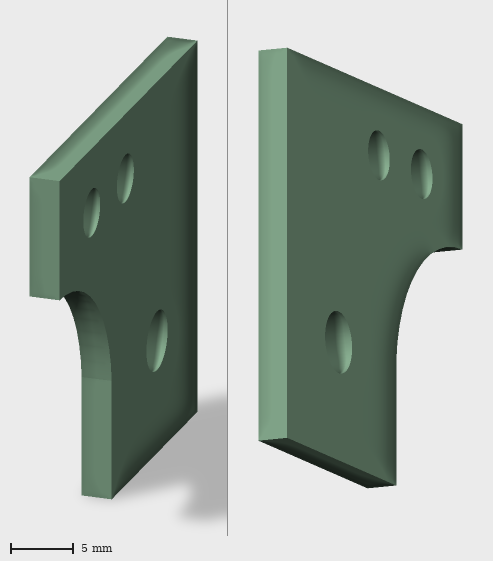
import cadquery as cq

thickness = 2.55
width = 32.58
height = 31.75

notch_width = 12.3
notch_height = 21.57
arc_start_height = 10.13
arc_rise = notch_height - arc_start_height
notch_radius = (notch_width**2 + arc_rise**2) / (2 * arc_rise)
arc_center_height = notch_height - notch_radius

small_hole_diameter = 4.0
small_hole_height = 26.25
first_small_hole_y = 7.6
small_hole_spacing = 7.95
large_hole_diameter = 5.02
large_hole_center = (23.05, 9.6)

small_hole_centers = [
    (first_small_hole_y + i * small_hole_spacing, small_hole_height) for i in range(2)
]


def make_plate():
    """Rectangular plate with the notch cut from its lower corner."""
    half_root = 0.5 ** 0.5
    arc_middle = (
        notch_radius * half_root,
        arc_center_height + notch_radius * half_root,
    )
    return (
        cq.Workplane("YZ")
        .moveTo(0, notch_height)
        .threePointArc(arc_middle, (notch_width, arc_start_height))
        .lineTo(notch_width, 0)
        .lineTo(width, 0)
        .lineTo(width, height)
        .lineTo(0, height)
        .close()
        .extrude(thickness)
    )


def make_hole_cutters(centers, diameter):
    """Cylinders that pass through the full plate thickness."""
    return (
        cq.Workplane("YZ")
        .pushPoints(centers)
        .circle(diameter / 2)
        .extrude(thickness)
    )


result = (
    make_plate()
    .cut(make_hole_cutters(small_hole_centers, small_hole_diameter))
    .cut(make_hole_cutters([large_hole_center], large_hole_diameter))
)